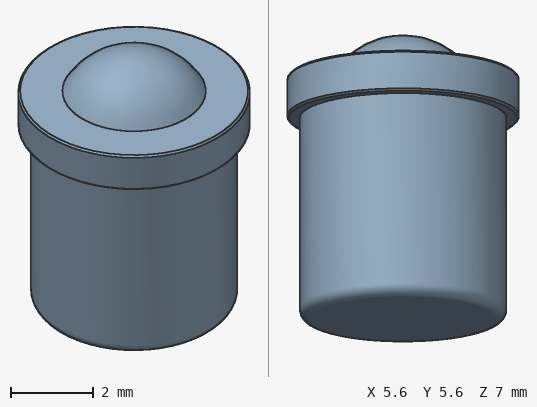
import cadquery as cq

total_height = 7.0
flange_diameter = 5.6
flange_thickness = 1.0
body_diameter = 5.0
ball_diameter = 4.0
ball_protrusion = 1.0
flange_chamfer = 0.05
body_bottom_fillet = 0.25

flange_top = total_height - ball_protrusion
flange_bottom = flange_top - flange_thickness
ball_center = total_height - ball_diameter / 2


def make_body():
    """Cylindrical sleeve with a rounded bottom edge."""
    body = cq.Workplane("XY").circle(body_diameter / 2).extrude(flange_top)
    return body.faces("<Z").edges().fillet(body_bottom_fillet)


def make_flange():
    """Collar at the top of the sleeve, with both rims chamfered."""
    flange = cq.Workplane("XY", origin=(0, 0, flange_bottom))
    flange = flange.circle(flange_diameter / 2).extrude(flange_thickness)
    return flange.edges("%CIRCLE").chamfer(flange_chamfer)


def make_ball():
    """Ball held in the sleeve, standing proud of the collar."""
    return cq.Workplane("XY", origin=(0, 0, ball_center)).sphere(ball_diameter / 2)


result = make_body().union(make_flange()).union(make_ball())